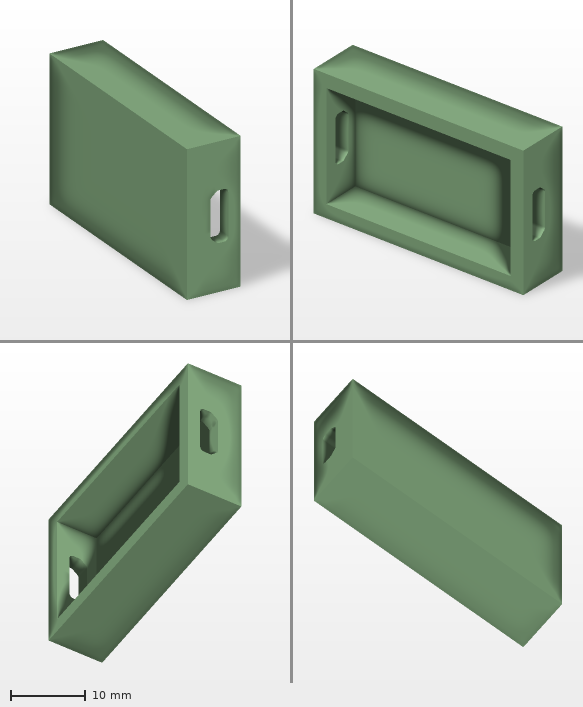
import cadquery as cq

length = 36.07
depth = 8.45
height = 22.35
wall = 2.2

slot_height = 7.83
slot_width = 2.78
slot_to_open_side = 1.95
slot_radius = 0.65

bevel_width = 1.05
bevel_height = 0.95
bevel_radius = 0.5


def make_tray():
    """Box hollowed out from its open +Y side, with one wall thickness all round."""
    block = cq.Workplane("XY").box(length, depth, height)
    return block.faces(">Y").shell(-wall)


def make_slot_cutter():
    """Bar along X, centred on the height of the case, with all corners rounded."""
    open_side = depth / 2 - slot_to_open_side
    floor_side = open_side - slot_width
    bevel_start = floor_side + bevel_width
    half_height = slot_height / 2
    bevel_end = half_height - bevel_height
    outline = [
        (open_side, -half_height),
        (open_side, half_height),
        (bevel_start, half_height),
        (floor_side, bevel_end),
        (floor_side, -bevel_end),
        (bevel_start, -half_height),
    ]
    bar = cq.Workplane("YZ").polyline(outline).close().extrude(length / 2, both=True)

    bar = bar.edges("|X exc >Y").fillet(bevel_radius)
    return bar.edges("|X and >Y").fillet(slot_radius)


result = make_tray().cut(make_slot_cutter())